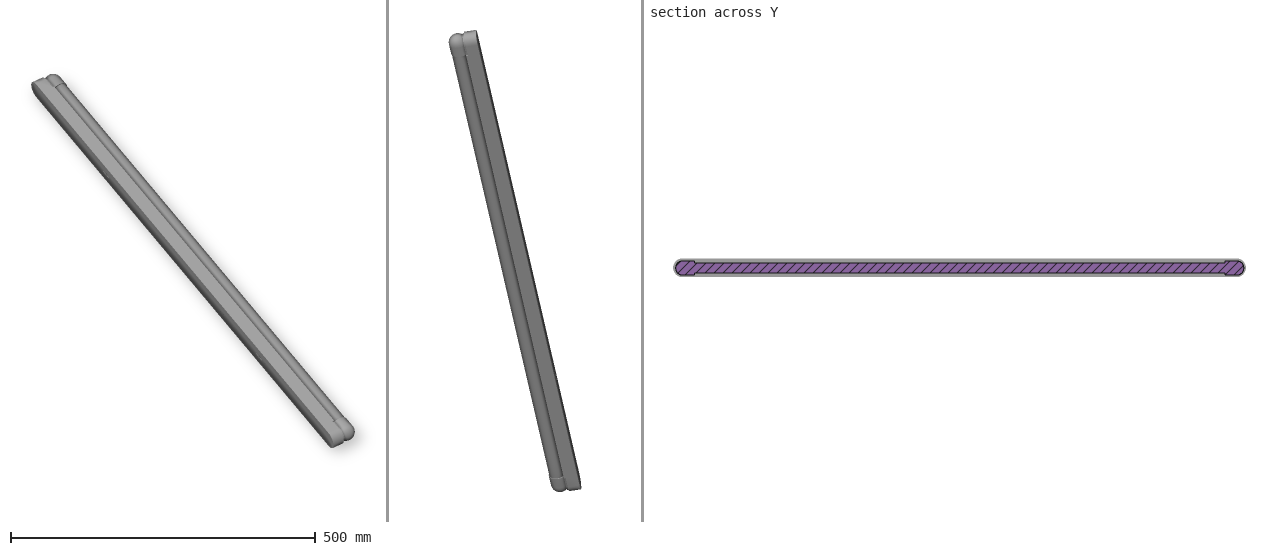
import cadquery as cq
import math

length = 940.0
depth = 48.0
height = 31.0

cap_length = 35.0
foot_depth = 20.0
foot_radius = height / 2
seat_depth = 3.0
seat_inset = 2.35
seat_radius = foot_radius - seat_inset
holder_radius = 15.0
holder_axis_y = depth - holder_radius

cap_inner_x = -length / 2 + cap_length
cap_round_x = -length / 2 + foot_radius

housing_length = length - 2 * cap_length
housing_depth = foot_depth + seat_depth

tube_diameter = 26.0
tube_top_inset = 1.0
tube_axis_y = depth - tube_top_inset - tube_diameter / 2

mount_positions = (-238.0, 238.0)
mount_entry_diameter = 7.0
mount_slot_length = 20.0
mount_slot_width = 4.0
mount_depth = 9.0


def make_housing():
    """Rectangular bar with its mounting face at Y = 0."""
    return cq.Workplane("XY").box(
        housing_length, housing_depth, height, centered=(True, False, True)
    )


def make_tube():
    """Cylinder between the two caps."""
    return (
        cq.Workplane("YZ", origin=(-housing_length / 2, tube_axis_y, 0))
        .circle(tube_diameter / 2)
        .extrude(housing_length)
    )


def make_round_ended_plate(radius, start_y, thickness):
    """Plate of the left cap: straight sides and a half-round outer end."""
    return (
        cq.Workplane("XZ", origin=(0, start_y, 0))
        .moveTo(cap_inner_x, radius)
        .lineTo(cap_round_x, radius)
        .threePointArc((cap_round_x - radius, 0), (cap_round_x, -radius))
        .lineTo(cap_inner_x, -radius)
        .close()
        .extrude(-thickness)
    )


def make_holder():
    """Left tube holder: a cylinder along X with a hemispherical end."""
    diagonal = holder_radius * math.sqrt(0.5)
    return (
        cq.Workplane("XY")
        .moveTo(cap_round_x - holder_radius, 0)
        .threePointArc((cap_round_x - diagonal, diagonal), (cap_round_x, holder_radius))
        .lineTo(cap_inner_x, holder_radius)
        .lineTo(cap_inner_x, 0)
        .close()
        .revolve(360, (0, 0), (1, 0))
        .translate((0, holder_axis_y, 0))
    )


def make_left_cap():
    """Foot, seat and tube holder in one piece."""
    foot = make_round_ended_plate(foot_radius, 0, foot_depth)
    seat = make_round_ended_plate(seat_radius, foot_depth, seat_depth)
    return foot.union(seat).union(make_holder())


def make_mount_hole(center_x):
    """Round entry with a slot running out to both sides."""
    face = cq.Workplane("XZ", origin=(center_x, 0, 0))
    entry = face.circle(mount_entry_diameter / 2).extrude(-mount_depth)
    slot = face.slot2D(mount_slot_length, mount_slot_width).extrude(-mount_depth)
    return entry.union(slot)


left_cap = make_left_cap()
right_cap = left_cap.mirror("YZ")

result = make_housing().union(make_tube()).union(left_cap).union(right_cap)
for mount_x in mount_positions:
    result = result.cut(make_mount_hole(mount_x))